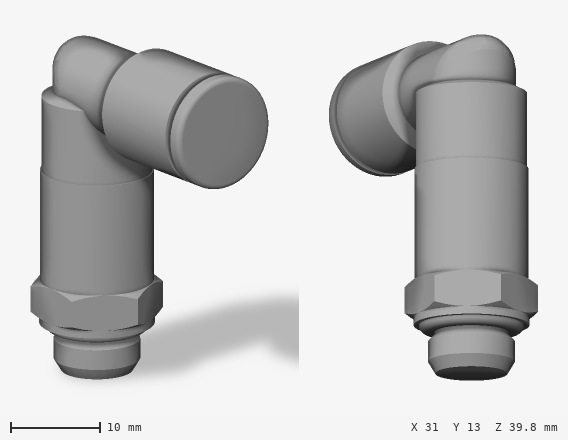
import cadquery as cq
import math

total_height = 39.8

tip_diameter = 8.1
thread_diameter = 9.75
neck_diameter = 8.3
barrel_diameter = 12.8
flange_diameter = 13.0
tip_chamfer_top_z = 1.35
thread_top_z = 3.65
neck_bottom_z = 4.38
flange_bottom_z = 5.55
hex_bottom_z = 6.4
hex_top_z = 10.6
barrel_top_z = 23.45
hex_across_flats = 13.0
hex_across_corners = hex_across_flats / math.cos(math.radians(30))
hex_chamfer_height = 0.6

seal_diameter = 11.85
seal_bottom_z = 4.7

elbow_base_diameter = 12.5
elbow_shoulder_z = 32.1
elbow_cone_top_z = 32.75
upright_diameter = 10.03
tube_diameter = 10.0
corner_round = 2.05
socket_diameter = 13.0
socket_start_x = 8.45
socket_full_x = 9.4
socket_end_x = 20.97
outlet_z = total_height - socket_diameter / 2

collar_neck_diameter = 11.5
collar_diameter = 13.0
collar_flange_x = 21.93
collar_end_x = 23.5
collar_round = 0.6


def turned_on_stud_axis(points):
    """Revolve (diameter, z) points about the stud axis, closing the outline along it."""
    outline = [(0, points[0][1])]
    outline += [(diameter / 2, z) for diameter, z in points]
    outline.append((0, points[-1][1]))
    return cq.Workplane("XZ").polyline(outline).close().revolve(360, (0, 0), (0, 1))


def outlet_cylinder(diameter, start_x, end_x):
    """Cylinder on the outlet axis between two X positions."""
    plane = cq.Workplane("YZ", origin=(start_x, 0, outlet_z))
    return plane.circle(diameter / 2).extrude(end_x - start_x)


def make_hexagon():
    """Hexagon with corners on the X axis, chamfered by cones at both ends."""
    prism = (
        cq.Workplane("XY", origin=(0, 0, hex_bottom_z))
        .polygon(6, hex_across_corners)
        .extrude(hex_top_z - hex_bottom_z)
    )
    chamfer_envelope = turned_on_stud_axis([
        (hex_across_flats, hex_bottom_z),
        (hex_across_corners, hex_bottom_z + hex_chamfer_height),
        (hex_across_corners, hex_top_z - hex_chamfer_height),
        (hex_across_flats, hex_top_z),
    ])
    return prism.intersect(chamfer_envelope)


def make_stud():
    """Threaded end, neck, flange, hexagon and long barrel."""
    lower_end = turned_on_stud_axis([
        (tip_diameter, 0),
        (thread_diameter, tip_chamfer_top_z),
        (thread_diameter, thread_top_z),
        (neck_diameter, neck_bottom_z),
        (neck_diameter, flange_bottom_z),
        (flange_diameter, flange_bottom_z),
        (flange_diameter, hex_bottom_z),
    ])
    barrel = turned_on_stud_axis([
        (barrel_diameter, hex_bottom_z),
        (barrel_diameter, barrel_top_z),
    ])
    return lower_end.union(make_hexagon()).union(barrel)


def make_seal():
    """Ring around the neck, under the flange, with its outside a quarter round."""
    seal_round = flange_bottom_z - seal_bottom_z
    outer_radius = seal_diameter / 2
    inner_radius = neck_diameter / 2
    round_centre_x = outer_radius - seal_round
    diagonal = seal_round * math.sqrt(0.5)
    return (
        cq.Workplane("XZ")
        .moveTo(inner_radius, flange_bottom_z)
        .lineTo(outer_radius, flange_bottom_z)
        .threePointArc(
            (round_centre_x + diagonal, flange_bottom_z - diagonal),
            (round_centre_x, seal_bottom_z),
        )
        .lineTo(inner_radius, seal_bottom_z)
        .close()
        .revolve(360, (0, 0), (0, 1))
    )


def make_bent_tube():
    """Upright end running into the outlet tube, with the outer edge of the bend rounded."""
    upright = turned_on_stud_axis([
        (upright_diameter, elbow_cone_top_z),
        (upright_diameter, total_height),
    ])
    full_tube = outlet_cylinder(tube_diameter, -upright_diameter, socket_start_x)
    overshoot = outlet_cylinder(socket_diameter, -upright_diameter, 0).cut(upright)
    tube = full_tube.cut(overshoot)
    mitre_edge = min(
        (edge for edge in tube.edges().vals() if edge.Center().z > outlet_z),
        key=lambda edge: edge.Center().x,
    )
    return tube.newObject([mitre_edge]).fillet(corner_round)


def make_elbow():
    """Base on the barrel, bent tube and chamfered outlet socket."""
    base = turned_on_stud_axis([
        (elbow_base_diameter, barrel_top_z),
        (elbow_base_diameter, elbow_shoulder_z),
        (upright_diameter, elbow_cone_top_z),
    ])
    socket = outlet_cylinder(socket_diameter, socket_start_x, socket_end_x)
    socket = socket.faces("<X").edges().chamfer(
        socket_full_x - socket_start_x, (socket_diameter - tube_diameter) / 2
    )
    return base.union(make_bent_tube()).union(socket)


def make_collar():
    """Release collar: a narrow neck and a flange with a rounded outer rim."""
    neck = outlet_cylinder(collar_neck_diameter, socket_end_x, collar_flange_x)
    flange = outlet_cylinder(collar_diameter, collar_flange_x, collar_end_x)
    flange = flange.faces(">X").edges().fillet(collar_round)
    return neck.union(flange)


stud = make_stud()
seal = make_seal()
elbow = make_elbow()
collar = make_collar()

result = cq.Compound.makeCompound([stud.val(), seal.val(), elbow.val(), collar.val()])